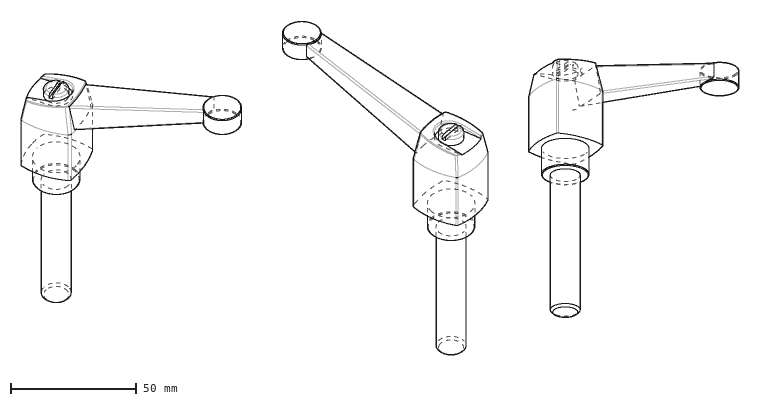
import cadquery as cq
import math

collar_bottom = 60.2
hub_bottom = 72.0
taper_start = 95.9
recess_floor = 104.6
screw_top = 108.6
overall_height = 125.0

overall_length = 93.5

margin = 0.6

stud_diameter = 12.0
tip_diameter = 10.0
collar_diameter = 19.0
collar_edge = 0.4

hub_half_width = 12.5
corner_half_width = 10.6
front_corner_x = 11.2
corner_radius = 1.0
front_corner_radius = 1.6
taper_angle = 11.0
top_slope = 9.5
top_centre_height = 107.0
top_edge_radius = 0.4

recess_radius = 6.6
recess_rim_radius = 0.6
screw_diameter = 10.1
screw_edge_radius = 1.0
slot_width = 1.5
slot_depth = 1.9

knob_diameter = 15.5
knob_height = 8.0
knob_edge = 0.4
knob_x = overall_length - hub_half_width - knob_diameter / 2
arm_root_x = 8.8
arm_root_top = 107.8
arm_root_bottom = 95.1
arm_end_x = 67.5
arm_end_top = 124.9
arm_end_bottom = 118.1
arm_root_half_width = 7.9
arm_end_half_width = 5.0
arm_edge_radius = 0.8


def cylinder(diameter, bottom, top):
    return cq.Workplane("XY").workplane(offset=bottom).circle(diameter / 2).extrude(top - bottom)


def make_stud():
    stud = cylinder(stud_diameter, 0, hub_bottom)
    stud = stud.faces("<Z").chamfer((stud_diameter - tip_diameter) / 2)
    collar = cylinder(collar_diameter, collar_bottom, hub_bottom)
    return stud.union(collar.faces("<Z").chamfer(collar_edge))


def hub_outline(height):
    back, front, side = -corner_half_width, front_corner_x, corner_half_width
    return (
        cq.Workplane("XY")
        .workplane(offset=height)
        .moveTo(back, -side)
        .threePointArc((0, -hub_half_width), (front, -side))
        .threePointArc((hub_half_width, 0), (front, side))
        .threePointArc((0, hub_half_width), (back, side))
        .threePointArc((-hub_half_width, 0), (back, -side))
        .close()
    )


def edges_inside(low, high):
    return cq.selectors.BoxSelector(low, high)


def round_corners(hub_part, bottom, top):
    reach = 2 * hub_half_width
    back_corners = edges_inside((-reach, -reach, bottom + margin), (0, reach, top - margin))
    front_corners = edges_inside((0, -reach, bottom + margin), (reach, reach, top - margin))
    rounded = hub_part.edges(back_corners).fillet(corner_radius)
    return rounded.edges(front_corners).fillet(front_corner_radius)


def space_above_top():
    size = 6 * hub_half_width
    return (
        cq.Workplane("XY")
        .box(size, size, size, centered=(True, True, False))
        .rotate((0, 0, 0), (0, 1, 0), -top_slope)
        .translate((0, 0, top_centre_height))
    )


def recess_space():
    open_end = -1.2 * hub_half_width
    slot = (
        cq.Workplane("XY")
        .workplane(offset=recess_floor)
        .moveTo(open_end, -recess_radius)
        .lineTo(0, -recess_radius)
        .threePointArc((recess_radius, 0), (0, recess_radius))
        .lineTo(open_end, recess_radius)
        .close()
        .extrude(overall_height - recess_floor)
    )
    slope = math.radians(top_slope)
    sloped_top = cq.selectors.ParallelDirSelector(cq.Vector(-math.sin(slope), 0, math.cos(slope)))
    rim_half_width = recess_radius + margin
    rim = edges_inside(
        (open_end + margin, -rim_half_width, 0),
        (hub_half_width, rim_half_width, overall_height),
    )
    space = space_above_top().union(slot)
    return space.faces(sloped_top).edges(rim).fillet(recess_rim_radius)


def make_hub():
    straight = hub_outline(hub_bottom).extrude(taper_start - hub_bottom)
    straight = round_corners(straight, hub_bottom, taper_start)
    tapered = hub_outline(taper_start).extrude(overall_height - taper_start, taper=taper_angle)
    tapered = round_corners(tapered, taper_start, overall_height).cut(space_above_top())
    tapered = tapered.faces(">Z").edges().fillet(top_edge_radius)
    return straight.union(tapered).cut(recess_space())


def make_screw():
    screw = cylinder(screw_diameter, recess_floor, screw_top).faces(">Z").edges().fillet(screw_edge_radius)
    slot = (
        cq.Workplane("XY")
        .workplane(offset=screw_top - slot_depth)
        .rect(slot_width, 2 * screw_diameter)
        .extrude(2 * slot_depth)
    )
    return screw.cut(slot)


def make_arm():
    side_view = (
        cq.Workplane("XZ")
        .moveTo(arm_root_x, arm_root_bottom)
        .lineTo(arm_end_x, arm_end_bottom)
        .lineTo(arm_end_x, arm_end_top)
        .lineTo(arm_root_x, arm_root_top)
        .close()
        .extrude(2 * hub_half_width, both=True)
    )
    plan = (
        cq.Workplane("XY")
        .polyline([
            (arm_root_x, -arm_root_half_width),
            (arm_end_x, -arm_end_half_width),
            (arm_end_x, arm_end_half_width),
            (arm_root_x, arm_root_half_width),
        ])
        .close()
        .extrude(2 * overall_height)
    )
    bar = side_view.intersect(plan)
    middle = edges_inside(
        (arm_root_x + margin, -hub_half_width, 0),
        (arm_end_x - margin, hub_half_width, overall_height),
    )
    return bar.edges(middle).fillet(arm_edge_radius)


def make_knob():
    knob = cylinder(knob_diameter, overall_height - knob_height, overall_height).translate((knob_x, 0, 0))
    return knob.faces("<Z or >Z").chamfer(knob_edge)


result = make_stud()
for component in (make_hub(), make_screw(), make_arm(), make_knob()):
    result = result.union(component)